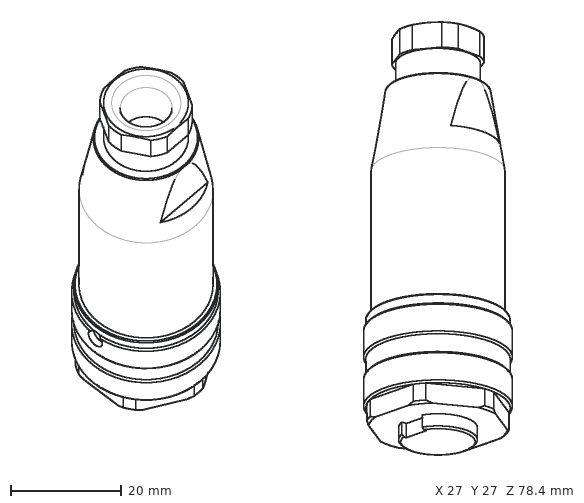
import cadquery as cq
import math

HEIGHT = 78.4
STUB_TOP = 2.75
RING_BOTTOM = 6.5
LOWER_BAND_TOP = 12.15
UPPER_BAND_BOTTOM = 16.0
UPPER_BAND_TOP = 21.55
RING_TOP = 23.8
CONE_BOTTOM = 52.45
FLAT_BOTTOM = 57.1
CONE_TOP = 68.0
NUT_BOTTOM = 73.3

STUB_RADIUS = 7.1
RING_RADIUS = 13.1
BAND_RADIUS = 13.5
BODY_RADIUS = 12.15
CONE_TOP_RADIUS = 9.6
NECK_RADIUS = 7.7

BAND_BEVEL = BAND_RADIUS - RING_RADIUS
SMALL_BEVEL = 0.2
STUB_BEVEL = 0.4

NUT_ACROSS_FLATS = 15.8
NUT_CORNER_RADIUS = 8.4
NUT_BEVEL_WIDTH = 0.7
NUT_BEVEL_HEIGHT = 0.2
COLLAR_ACROSS_FLATS = 23.75
COLLAR_CORNER_RADIUS = RING_RADIUS
COLLAR_BEVEL = 0.5

KEYWAY_WIDTH = 5.2
KEYWAY_DEPTH = 1.6
WRENCH_FLAT_OFFSET = 9.5
BORE_RADIUS = 4.7
BORE_MOUTH_FILLET = 1.6
BORE_FLOOR = CONE_TOP
MARK_RADIUS = 1.7
MARK_HEIGHT = 20.4


def turned_body():
    """Everything round about the Z axis, from the stub to the neck."""
    bands = []
    for bottom, top in ((RING_BOTTOM, LOWER_BAND_TOP), (UPPER_BAND_BOTTOM, UPPER_BAND_TOP)):
        bands += [
            (RING_RADIUS, bottom),
            (BAND_RADIUS, bottom + BAND_BEVEL),
            (BAND_RADIUS, top),
            (RING_RADIUS, top + BAND_BEVEL),
        ]
    profile = [
        (0, 0),
        (STUB_RADIUS - STUB_BEVEL, 0),
        (STUB_RADIUS, STUB_BEVEL),
        (STUB_RADIUS, RING_BOTTOM),
        *bands,
        (RING_RADIUS, RING_TOP - SMALL_BEVEL),
        (RING_RADIUS - SMALL_BEVEL, RING_TOP),
        (BODY_RADIUS, RING_TOP),
        (BODY_RADIUS, CONE_BOTTOM),
        (CONE_TOP_RADIUS, CONE_TOP - SMALL_BEVEL),
        (CONE_TOP_RADIUS - SMALL_BEVEL, CONE_TOP),
        (NECK_RADIUS, CONE_TOP),
        (NECK_RADIUS, NUT_BOTTOM),
        (0, NUT_BOTTOM),
    ]
    return cq.Workplane("XZ").polyline(profile).close().revolve(360, (0, 0), (0, 1))


def hexagon(across_flats, bottom, top, rotation):
    """Hexagonal prism; with no rotation its flats face +Y and -Y."""
    corner_diameter = across_flats / math.cos(math.pi / 6)
    prism = cq.Workplane("XY").workplane(offset=bottom).polygon(6, corner_diameter).extrude(top - bottom)
    return prism.rotate((0, 0, 0), (0, 0, 1), rotation)


def nut():
    """Hexagonal clamping nut, flats facing +X and -X, bevelled at the top."""
    envelope = (
        cq.Workplane("XY")
        .workplane(offset=NUT_BOTTOM)
        .circle(NUT_CORNER_RADIUS)
        .extrude(HEIGHT - NUT_BOTTOM)
        .faces(">Z")
        .chamfer(NUT_BEVEL_HEIGHT, NUT_BEVEL_WIDTH)
    )
    return hexagon(NUT_ACROSS_FLATS, NUT_BOTTOM, HEIGHT, 30).intersect(envelope)


def collar():
    """Hexagonal collar under the ring, flats facing +Y and -Y, bevelled at the bottom."""
    envelope = (
        cq.Workplane("XY")
        .workplane(offset=STUB_TOP)
        .circle(COLLAR_CORNER_RADIUS)
        .extrude(RING_BOTTOM - STUB_TOP)
        .faces("<Z")
        .chamfer(COLLAR_BEVEL)
    )
    return hexagon(COLLAR_ACROSS_FLATS, STUB_TOP, RING_BOTTOM, 0).intersect(envelope)


def wrench_flat_cut(side):
    """Block that leaves a flat on the cone, on the +X (1) or -X (-1) side."""
    size = 2 * BODY_RADIUS
    return (
        cq.Workplane("XY")
        .box(size, size, CONE_TOP - FLAT_BOTTOM, centered=(True, True, False))
        .translate((side * (WRENCH_FLAT_OFFSET + size / 2), 0, FLAT_BOTTOM))
    )


def keyway_cut():
    """Block that leaves an axial keyway in the +Y side of the stub."""
    return (
        cq.Workplane("XY")
        .box(KEYWAY_WIDTH, STUB_RADIUS, STUB_TOP, centered=(True, False, False))
        .translate((0, STUB_RADIUS - KEYWAY_DEPTH, 0))
    )


def bore():
    """Blind cable bore with a rounded mouth."""
    profile = (
        cq.Workplane("XZ")
        .moveTo(0, BORE_FLOOR)
        .lineTo(BORE_RADIUS, BORE_FLOOR)
        .lineTo(BORE_RADIUS, HEIGHT - BORE_MOUTH_FILLET)
        .radiusArc((BORE_RADIUS + BORE_MOUTH_FILLET, HEIGHT), BORE_MOUTH_FILLET)
        .lineTo(0, HEIGHT)
        .close()
    )
    return profile.revolve(360, (0, 0), (0, 1))


def index_mark():
    """Round hole through the ring at the -Y side, ending on the body surface."""
    drill = cq.Workplane("XZ").center(0, MARK_HEIGHT).circle(MARK_RADIUS).extrude(BAND_RADIUS)
    core = cq.Workplane("XY").circle(BODY_RADIUS).extrude(RING_TOP)
    return drill.cut(core)


result = turned_body().union(nut()).union(collar())
for side in (1, -1):
    result = result.cut(wrench_flat_cut(side))
result = result.cut(keyway_cut()).cut(bore()).cut(index_mark())